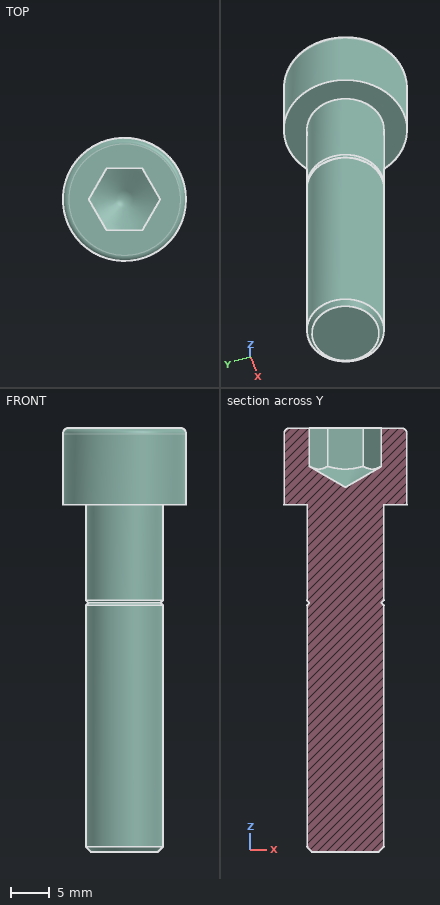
import cadquery as cq
import math

total_length = 55.0
head_diameter = 16.0
head_height = 10.0
head_edge_radius = 0.75
shank_diameter = 10.0
tip_chamfer = 0.65
thread_length = 32.0
relief_width = 0.6
relief_depth = 0.3
socket_across_flats = 8.05
socket_depth = 5.0
socket_cone_angle = 120.0

head_base = total_length - head_height
shank_radius = shank_diameter / 2


def make_head():
    """Cylindrical head with a rounded top rim."""
    head = cq.Workplane("XY").workplane(offset=head_base).circle(head_diameter / 2).extrude(head_height)
    return head.faces(">Z").edges().fillet(head_edge_radius)


def make_shank():
    """Shank and thread cylinder with a V relief between them and a chamfered tip."""
    profile = (
        cq.Workplane("XZ")
        .lineTo(shank_radius - tip_chamfer, 0)
        .lineTo(shank_radius, tip_chamfer)
        .lineTo(shank_radius, thread_length)
        .lineTo(shank_radius - relief_depth, thread_length + relief_width / 2)
        .lineTo(shank_radius, thread_length + relief_width)
        .lineTo(shank_radius, head_base)
        .lineTo(0, head_base)
        .close()
    )
    return profile.revolve(360, (0, 0), (0, 1))


def make_socket():
    """Hexagonal socket, corners on the X axis, ending in a conical bottom."""
    corner_radius = socket_across_flats / math.sqrt(3)
    cone_height = corner_radius / math.tan(math.radians(socket_cone_angle / 2))
    floor = total_length - socket_depth
    hexagon = (
        cq.Workplane("XY")
        .workplane(offset=floor - cone_height)
        .polygon(6, 2 * corner_radius)
        .extrude(socket_depth + cone_height)
    )
    drill = (
        cq.Workplane("XZ")
        .moveTo(0, floor - cone_height)
        .lineTo(corner_radius, floor)
        .lineTo(corner_radius, total_length)
        .lineTo(0, total_length)
        .close()
        .revolve(360, (0, 0), (0, 1))
    )
    return hexagon.intersect(drill)


result = make_head().union(make_shank()).cut(make_socket())